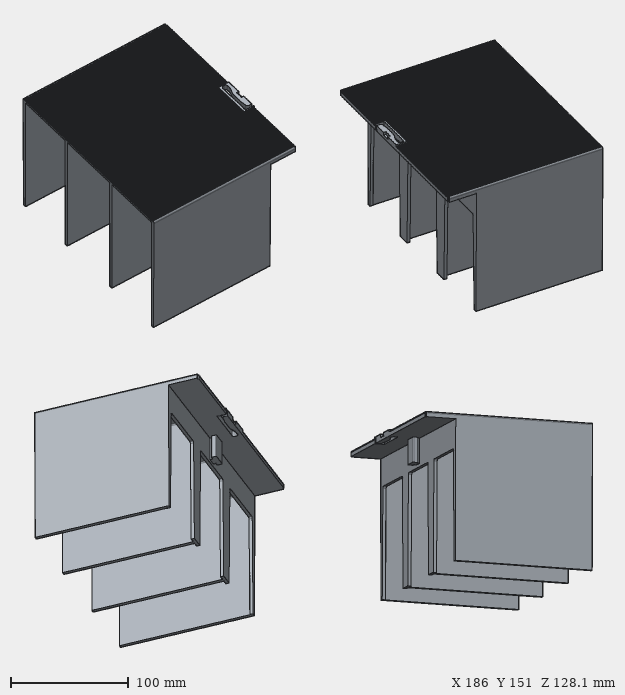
import cadquery as cq
import math

WIDTH = 186.0
DEPTH = 151.0
HEIGHT = 128.1
HALF_WIDTH = WIDTH / 2

PAD_RISE = 1.0
DECK_TOP = HEIGHT - PAD_RISE
CEILING = DECK_TOP - 2.8
OVERHANG_BOTTOM = DECK_TOP - 4.8
SIDE_ROUND = 1.5

LIP_DEPTH = 1.0
LIP_SIDE_INSET = 1.5
LIP_DROP = 1.0
LIP_ROUND = 0.7
DECK_BACK = DEPTH - LIP_DEPTH

WALL_DEPTH = 123.7
BAY_PITCH = 63.0
MIDDLE_WALL = 3.0
OUTER_WALL = 3.9
OUTER_DRAFT = 0.45
BAY_ROUND = 1.0

PANEL_THICKNESS = 3.0
OPENING_HEIGHT = 97.6
OPENING_TOP_WIDTH = 48.0
OPENING_DRAFT = 1.0
OPENING_ROUND = 1.5

GROOVE_COUNT = 101
GROOVE_SPAN = 180.0
GROOVE_PITCH = GROOVE_SPAN / (GROOVE_COUNT - 1)
RIDGE_WIDTH = 0.5
GROOVE_WIDTH = GROOVE_PITCH - RIDGE_WIDTH
GROOVE_DEPTH = 0.5

PAD_LEFT = -3.3
PAD_RIGHT = 33.5
PAD_FRONT = DEPTH - 11.0

SLOT_SIDE_RIM = 1.3
SLOT_FRONT_RIM = 2.5
SLOT_LEFT = PAD_LEFT + SLOT_SIDE_RIM
SLOT_RIGHT = PAD_RIGHT - SLOT_SIDE_RIM
SLOT_FRONT = PAD_FRONT + SLOT_FRONT_RIM
SLOT_ROUND = 1.9
ARM_ROOT_THICKNESS = 3.5
ARM_BELLY_THICKNESS = 6.0
ARM_TIP_THICKNESS = 5.2
ARM_TIP_ROUND = 2.5
ARM_TIP_GAP = 2.5
ROOT_END = 2.5
BELLY_START = 11.9
BELLY_END = 22.0

RECESS_X = 14.5
RECESS_WIDTH = 6.9
RECESS_LENGTH = 2.2
RECESS_DEPTH = 2.8

HOOK_BOTTOM = 100.6
HOOK_REACH = 7.0
HOOK_NECK_LENGTH = 2.2
HOOK_NECK_WIDTH = 7.5
HOOK_HEAD_WIDTH = 13.0
HOOK_ROUND = 0.7


def box(x0, x1, y0, y1, z0, z1):
    return cq.Workplane("XY").box(x1 - x0, y1 - y0, z1 - z0, centered=False).translate((x0, y0, z0))


def draft_run(height, degrees):
    """Sideways shift of a drafted face over the given height."""
    return height * math.tan(math.radians(degrees))


def make_body():
    shoulder = DECK_TOP - SIDE_ROUND
    foot = HALF_WIDTH - draft_run(shoulder, OUTER_DRAFT)
    outline = [
        (-foot, 0),
        (-HALF_WIDTH, shoulder),
        (-HALF_WIDTH, DECK_TOP),
        (HALF_WIDTH, DECK_TOP),
        (HALF_WIDTH, shoulder),
        (foot, 0),
    ]
    body = cq.Workplane("XZ").polyline(outline).close().extrude(-DECK_BACK)
    body = body.faces(">Z").edges("|Y").fillet(SIDE_ROUND)
    return body.cut(box(-HALF_WIDTH, HALF_WIDTH, WALL_DEPTH, DECK_BACK, 0, OVERHANG_BOTTOM))


def make_bay(left, right):
    bay = box(left, right, 0, WALL_DEPTH - PANEL_THICKNESS, 0, CEILING)
    return bay.edges("|Y and >Z").fillet(BAY_ROUND)


def make_opening(x):
    top = OPENING_TOP_WIDTH / 2
    foot = top + draft_run(OPENING_HEIGHT, OPENING_DRAFT)
    outline = [(-foot, 0), (-top, OPENING_HEIGHT), (top, OPENING_HEIGHT), (foot, 0)]
    opening = cq.Workplane("XZ").polyline(outline).close().extrude(-WALL_DEPTH)
    return opening.edges("|Y and >Z").fillet(OPENING_ROUND).translate((x, 0, 0))


def make_grooves():
    return (
        cq.Workplane("XY", origin=(0, DECK_BACK / 2, DECK_TOP - GROOVE_DEPTH))
        .rarray(GROOVE_PITCH, 1.9, GROOVE_COUNT, 1)
        .rect(GROOVE_WIDTH, DECK_BACK)
        .extrude(GROOVE_DEPTH)
    )


def make_lip():
    half = HALF_WIDTH - LIP_SIDE_INSET
    lip = box(-half, half, DECK_BACK, DEPTH, OVERHANG_BOTTOM, DECK_TOP - LIP_DROP)
    return lip.edges("|Y and >Z").fillet(LIP_ROUND)


def make_pad():
    return box(PAD_LEFT, PAD_RIGHT, PAD_FRONT, DEPTH, OVERHANG_BOTTOM, HEIGHT)


def make_slot():
    root_y = DEPTH - ARM_ROOT_THICKNESS
    belly_y = DEPTH - ARM_BELLY_THICKNESS
    tip_x = SLOT_RIGHT - ARM_TIP_GAP
    tip_y = DEPTH - ARM_TIP_THICKNESS
    round_x = tip_x - ARM_TIP_ROUND
    round_y = tip_y + ARM_TIP_ROUND
    diagonal = ARM_TIP_ROUND * math.sqrt(0.5)
    slot = (
        cq.Workplane("XY", origin=(0, 0, OVERHANG_BOTTOM))
        .moveTo(SLOT_LEFT, SLOT_FRONT)
        .lineTo(SLOT_RIGHT, SLOT_FRONT)
        .lineTo(SLOT_RIGHT, DEPTH)
        .lineTo(tip_x, DEPTH)
        .lineTo(tip_x, round_y)
        .threePointArc((round_x + diagonal, round_y - diagonal), (round_x, tip_y))
        .lineTo(BELLY_END, belly_y)
        .lineTo(BELLY_START, belly_y)
        .spline([(ROOT_END, root_y)], tangents=[(-1, 0), (-1, 0)], includeCurrent=True)
        .lineTo(SLOT_LEFT, root_y)
        .close()
        .extrude(HEIGHT - OVERHANG_BOTTOM)
    )
    return slot.edges("|Z and <X").fillet(SLOT_ROUND)


def make_recess():
    left = RECESS_X - RECESS_WIDTH / 2
    right = RECESS_X + RECESS_WIDTH / 2
    return box(left, right, DEPTH - RECESS_LENGTH, DEPTH, HEIGHT - RECESS_DEPTH, HEIGHT)


def make_hook():
    neck = HOOK_NECK_WIDTH / 2
    head = HOOK_HEAD_WIDTH / 2
    head_front = WALL_DEPTH + HOOK_NECK_LENGTH
    hook = box(-head, head, head_front, WALL_DEPTH + HOOK_REACH, HOOK_BOTTOM, OVERHANG_BOTTOM)
    hook = hook.edges("|Z").fillet(HOOK_ROUND)
    return hook.union(box(-neck, neck, WALL_DEPTH, head_front, HOOK_BOTTOM, OVERHANG_BOTTOM))


outer_face = HALF_WIDTH - OUTER_WALL
middle_outside = (BAY_PITCH + MIDDLE_WALL) / 2
middle_inside = (BAY_PITCH - MIDDLE_WALL) / 2

result = make_body()
for left, right in [
    (-outer_face, -middle_outside),
    (-middle_inside, middle_inside),
    (middle_outside, outer_face),
]:
    result = result.cut(make_bay(left, right))
for bay_index in (-1, 0, 1):
    result = result.cut(make_opening(bay_index * BAY_PITCH))
result = result.cut(make_grooves())
result = result.union(make_lip()).union(make_pad())
result = result.cut(make_slot()).cut(make_recess())
result = result.union(make_hook())